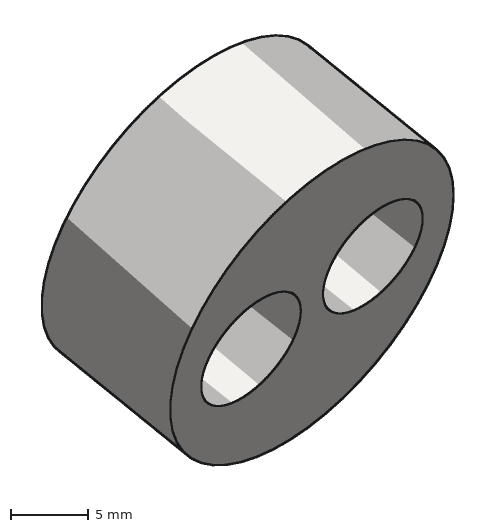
import cadquery as cq

disc_diameter = 25.6
disc_thickness = 12.0
hole_diameter = 9.0
hole_spacing = 11.0


def make_disc():
    """Round disc with its axis along X and one face on the YZ plane."""
    return cq.Workplane("YZ").circle(disc_diameter / 2).extrude(disc_thickness)


def cut_through_holes(body):
    """Cut the two through holes, placed symmetrically about the disc axis along Y."""
    hole_centres = [(side * hole_spacing / 2, 0) for side in (-1, 1)]
    holes = (
        cq.Workplane("YZ")
        .pushPoints(hole_centres)
        .circle(hole_diameter / 2)
        .extrude(disc_thickness)
    )
    return body.cut(holes)


result = cut_through_holes(make_disc())